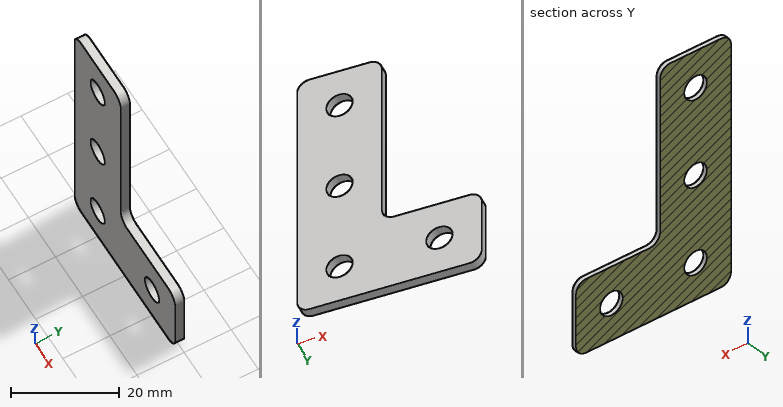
import cadquery as cq

height = 57.0
width = 37.0
thickness = 2.0
hole_pitch = 20.0
arm_width = width - hole_pitch
corner_radius = 2.5
hole_diameter = 5.25

edge_distance = arm_width / 2
hole_centers = [
    (edge_distance, edge_distance),
    (edge_distance + hole_pitch, edge_distance),
    (edge_distance, edge_distance + hole_pitch),
    (edge_distance, edge_distance + 2 * hole_pitch),
]


def make_plate():
    """L-shaped plate with its outer corners and inner corner all rounded."""
    outline = [
        (0, 0),
        (width, 0),
        (width, arm_width),
        (arm_width, arm_width),
        (arm_width, height),
        (0, height),
    ]
    plate = cq.Workplane("XZ").polyline(outline).close().extrude(-thickness)
    return plate.edges("|Y").fillet(corner_radius)


def make_holes():
    """Round through holes along both arms."""
    return cq.Workplane("XZ").pushPoints(hole_centers).circle(hole_diameter / 2).extrude(-thickness)


result = make_plate().cut(make_holes())